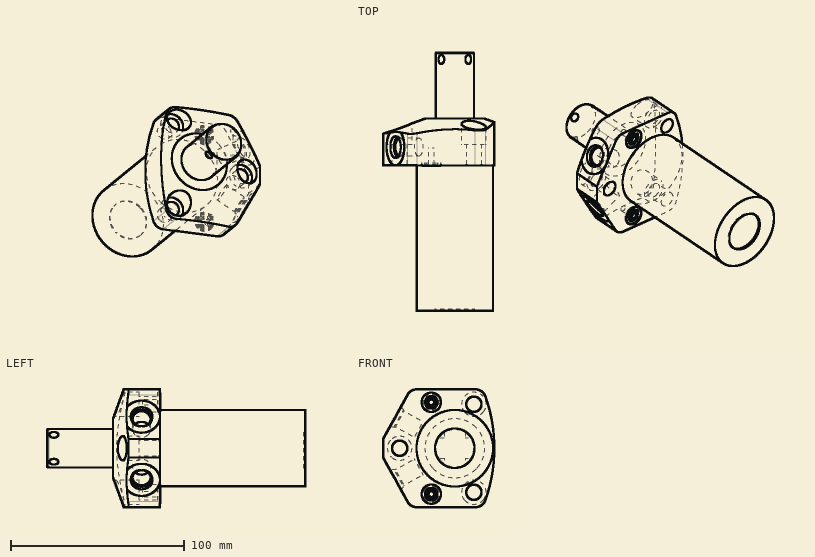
import cadquery as cq
import math


barrel_diameter = 44.2
barrel_length = 84.0
rod_diameter = 22.3
overall_length = 149.0
rod_end = overall_length - barrel_length
rod_chamfer_length = 1.0
rod_chamfer_depth = 0.3
end_recess_diameter = 22.8
end_recess_depth = 1.0

flange_thickness = 27.0
flange_width = 64.29
flange_half_height = 68.22 / 2
nose_x = -41.4
bow_x = nose_x + flange_width
nose_half_height = 5.4
side_angle = 61.0
bow_radius = 89.0
corner_radius = 6.35

cone_angle = 20.0
cone_start_radius = 17.15

mount_hole_diameter = 8.7
counterbore_diameter = 14.0
counterbore_floor_y = 12.0
nose_hole_x = -31.8
bow_hole_x = 11.0
bow_hole_z = 25.4

port_z = 18.25
port_y = 10.5
spotface_diameter = 21.2
spotface_depth = 0.1
port_mouth_diameter = 12.6
port_throat_diameter = 11.6
port_cone_depth = 2.2
port_bore_diameter = 10.3
port_step_depth = (port_throat_diameter - port_bore_diameter) / 2
port_depth = 15.4

feed_x = -13.55
feed_z = 26.5
feed_hole_diameter = 3.3
feed_hole_depth = 10.0
seal_major_radius = 4.6
seal_tube_radius = 0.98
seal_protrusion = 0.45
seal_seating = 0.05
groove_outer_radius = seal_major_radius + seal_tube_radius
groove_inner_radius = 2.7
groove_depth = 2 * seal_tube_radius - seal_protrusion - seal_seating

dimple_diameter = 5.2
dimple_depth = dimple_diameter / 2
dimple_setback = 3.9
dimple_angles = (45, 135, 225, 315)

AXIS = cq.Vector(0, 1, 0)


def cylinder(x, y, z, diameter, length, direction=AXIS):
    """Solid cylinder starting at (x, y, z) and running along a direction."""
    return cq.Workplane(obj=cq.Solid.makeCylinder(diameter / 2, length, cq.Vector(x, y, z), direction))


def make_flange():
    """Five-sided plate with a bowed edge, cut down to a cone on the rod side."""
    bow_inset = bow_radius - math.sqrt(bow_radius**2 - flange_half_height**2)
    bow_end_x = bow_x - bow_inset
    shoulder_x = nose_x + (flange_half_height - nose_half_height) / math.tan(math.radians(side_angle))
    plate = (
        cq.Workplane("XZ")
        .moveTo(nose_x, -nose_half_height)
        .lineTo(shoulder_x, -flange_half_height)
        .lineTo(bow_end_x, -flange_half_height)
        .threePointArc((bow_x, 0), (bow_end_x, flange_half_height))
        .lineTo(shoulder_x, flange_half_height)
        .lineTo(nose_x, nose_half_height)
        .close()
        .extrude(-flange_thickness)
    )
    plate = plate.edges("|Y").edges(">Z or <Z").fillet(corner_radius)
    cone_base_radius = cone_start_radius + flange_thickness / math.tan(math.radians(cone_angle))
    cone = cq.Solid.makeCone(cone_base_radius, cone_start_radius, flange_thickness, cq.Vector(), AXIS)
    return plate.intersect(cq.Workplane(obj=cone))


def make_barrel():
    barrel = cylinder(0, -barrel_length, 0, barrel_diameter, barrel_length)
    return barrel.cut(cylinder(0, -barrel_length, 0, end_recess_diameter, end_recess_depth))


def make_rod():
    """Rod with a shallow tapered lead at its tip and conical set-screw dimples."""
    radius = rod_diameter / 2
    rod = (
        cq.Workplane("XY")
        .moveTo(0, 0)
        .lineTo(radius, 0)
        .lineTo(radius, rod_end - rod_chamfer_length)
        .lineTo(radius - rod_chamfer_depth, rod_end)
        .lineTo(0, rod_end)
        .close()
        .revolve(360, (0, 0, 0), (0, 1, 0))
    )
    for angle in dimple_angles:
        outward = cq.Vector(math.cos(math.radians(angle)), 0, math.sin(math.radians(angle)))
        tip = outward * (radius - dimple_depth) + AXIS * (rod_end - dimple_setback)
        dimple = cq.Solid.makeCone(0, dimple_diameter / 2, dimple_depth, tip, outward)
        rod = rod.cut(cq.Workplane(obj=dimple))
    return rod


def mount_hole_cutter(x, z):
    """Through hole, counterbored from the rod side."""
    counterbore_depth = flange_thickness - counterbore_floor_y
    counterbore = cylinder(x, counterbore_floor_y, z, counterbore_diameter, counterbore_depth)
    return counterbore.union(cylinder(x, 0, z, mount_hole_diameter, flange_thickness))


def port_cutter(side):
    """Spotface, tapered mouth, 45-degree step and flat-bottomed bore, square to a slanted side."""
    slope = math.tan(math.radians(side_angle))
    face_x = nose_x + (port_z - nose_half_height) / slope
    inward = cq.Vector(
        math.sin(math.radians(side_angle)), 0, -side * math.cos(math.radians(side_angle))
    )
    mouth_plane = cq.Plane(origin=(face_x, port_y, side * port_z), xDir=(0, 1, 0), normal=inward.toTuple())
    spotface = cq.Workplane(mouth_plane).circle(spotface_diameter / 2).extrude(spotface_depth)
    mouth = cq.Solid.makeCone(
        port_mouth_diameter / 2, port_throat_diameter / 2, port_cone_depth, mouth_plane.origin, inward
    )
    step = cq.Solid.makeCone(
        port_throat_diameter / 2,
        port_bore_diameter / 2,
        port_step_depth,
        mouth_plane.origin + inward * port_cone_depth,
        inward,
    )
    bore = cq.Workplane(mouth_plane).circle(port_bore_diameter / 2).extrude(port_depth)
    return spotface.union(cq.Workplane(obj=mouth)).union(cq.Workplane(obj=step)).union(bore)


def feed_cutter(side):
    """Annular seal groove with a small feed hole through its central land."""
    z = side * feed_z
    groove = cylinder(feed_x, 0, z, 2 * groove_outer_radius, groove_depth)
    groove = groove.cut(cylinder(feed_x, 0, z, 2 * groove_inner_radius, groove_depth))
    return groove.union(cylinder(feed_x, 0, z, feed_hole_diameter, feed_hole_depth))


def seal_ring(side):
    """O-ring resting in its groove and standing proud of the mounting face."""
    center = cq.Vector(feed_x, seal_tube_radius - seal_protrusion, side * feed_z)
    ring = cq.Solid.makeTorus(seal_major_radius, seal_tube_radius, center, AXIS)
    return cq.Workplane(obj=ring)


flange = make_flange()
for hole_x, hole_z in ((nose_hole_x, 0), (bow_hole_x, bow_hole_z), (bow_hole_x, -bow_hole_z)):
    flange = flange.cut(mount_hole_cutter(hole_x, hole_z))
for side in (1, -1):
    flange = flange.cut(port_cutter(side))
    flange = flange.cut(feed_cutter(side)).union(seal_ring(side))

result = flange.union(make_barrel()).union(make_rod())